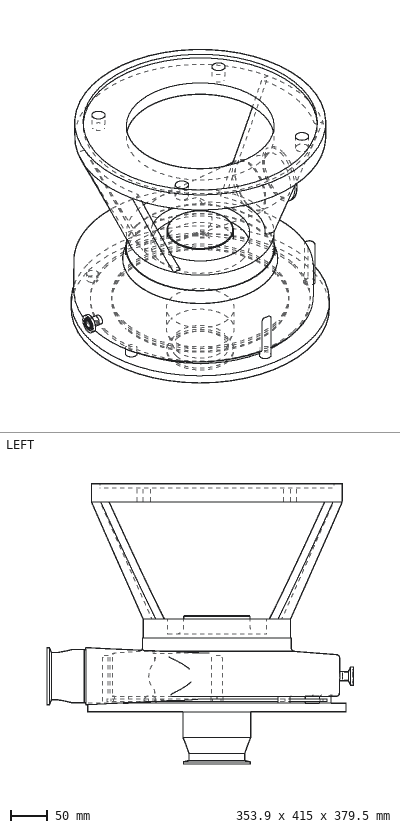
import cadquery as cq
import math


suction_flange_thickness = 3.0
suction_neck_bottom = 5.0
suction_reducer_bottom = 14.5
suction_reducer_top = 36.0
plate_bottom = 70.5
plate_thickness = 12.0
plate_top = plate_bottom + plate_thickness
casing_bottom = 91.5
outlet_level = 119.0
bearing_bottom = 147.0
bearing_step_level = 171.0
bearing_top = 196.5
plug_top = 201.0
total_height = 379.5
ring_thickness = 25.0
ring_bottom = total_height - ring_thickness

suction_flange_radius = 45.5
suction_neck_radius = 38.0
suction_pipe_radius = 46.0

plate_radius = 175.0
cover_disc_radius = 149.0
cover_spacer_radius = 120.0
cover_gap = 2.0
cover_disc_thickness = 3.8
pillar_count = 5
pillar_radius = 8.0
pillar_circle_radius = 154.3
pillar_top = 147.0
pillar_rounding = 4.0

casing_radius = 166.4
casing_offset = -8.8
wall_end_angle = 155.0
tongue_radius = 147.5
tongue_angle = 145.0
casing_roof_inner_radius = 101.0
casing_roof_inner_level = 153.0
casing_roof_outer_radius = 200.0
casing_roof_outer_level = 145.4
casing_rounding = 5.0

outlet_x = -140.0
outlet_end = 230.0
outlet_pipe_end = 177.0
outlet_pipe_end_radius = 38.89
outlet_groove_radius = 35.2
outlet_groove_place = 179.0
outlet_socket_start = 180.2
outlet_reducer_start = 196.0
outlet_reducer_end = 215.5
outlet_pipe_start = 0.0
outlet_pipe_start_radius = 30.8
outlet_flange_radius = 38.75
outlet_flange_thickness = 3.5
outlet_flange_taper = 2.5
outlet_neck_radius = 32.2
outlet_socket_radius = 36.2

drain_length = 185.0
drain_root_depth = 10.0
drain_tube_radius = 6.5
drain_flange_radius = 12.5
drain_flange_thickness = 4.0
drain_flange_taper = 3.0
drain_bore_radius = 5.0
drain_bore_depth = 15.0
drain_groove_inner_radius = 7.0
drain_groove_outer_radius = 9.0
drain_groove_depth = 1.5

bearing_radius = 100.0
bearing_base_radius = 101.0
bearing_foot_rounding = 4.0
bearing_bore_radius = 67.0
bearing_bore_floor = 176.0
plug_radius = 45.0
plug_chamfer = 1.0
plug_foot_radius = 55.0

ring_radius = 170.0
ring_bore_radius = 100.0
ring_recess_radius = 158.5
ring_recess_depth = 6.0
ring_hole_radius = 9.0
ring_hole_circle_radius = 140.0
ring_hole_count = 4
ring_hole_start_angle = 45.0
arm_thickness = 12.0
arm_top_width = 130.0
arm_bottom_width = 112.0
arm_rounding = 3.0


def turned(profile):
    """Solid turned about Z from a list of (radius, height) points."""
    return cq.Workplane("XZ").polyline(profile).close().revolve(360, (0, 0, 0), (0, 1, 0))


def cylinder(radius, bottom, top):
    return cq.Workplane("XY").workplane(offset=bottom).circle(radius).extrude(top - bottom)


def make_suction():
    """Suction pipe with a reducer and a clamp flange below the plate."""
    return turned([
        (0, 0),
        (suction_flange_radius, 0),
        (suction_flange_radius, suction_flange_thickness),
        (suction_neck_radius, suction_neck_bottom),
        (suction_neck_radius, suction_reducer_bottom),
        (suction_pipe_radius, suction_reducer_top),
        (suction_pipe_radius, plate_top),
        (0, plate_top),
    ])


def make_base():
    """Base plate with the casing's cover disc, held on a smaller spacer that joins plate and casing."""
    disc_bottom = plate_top + cover_gap
    plate = cylinder(plate_radius, plate_bottom, plate_top)
    spacer = cylinder(cover_spacer_radius, plate_top, casing_bottom)
    disc = cylinder(cover_disc_radius, disc_bottom, disc_bottom + cover_disc_thickness)
    return plate.union(spacer).union(disc)


def make_pillars():
    """Pillars from the plate up into the casing; those at the narrow side stand proud of its wall."""
    pillar = cylinder(pillar_radius, plate_bottom, pillar_top)
    pillar = pillar.faces(">Z").edges().fillet(pillar_rounding)
    pillar = pillar.translate((pillar_circle_radius, 0, 0))
    pillars = cq.Workplane("XY")
    for i in range(pillar_count):
        angle = i * 360 / pillar_count
        pillars = pillars.union(pillar.rotate((0, 0, 0), (0, 0, 1), angle))
    return pillars


def make_casing():
    """Volute: two tangent arcs in plan, a conical roof and rounded rims.

    The straight side that closes the outline lies inside the outlet pipe.
    """
    spiral_start_offset = casing_offset + casing_radius - tongue_radius
    tongue = (
        spiral_start_offset + tongue_radius * math.cos(math.radians(tongue_angle)),
        tongue_radius * math.sin(math.radians(tongue_angle)),
    )
    wall_end = (
        casing_offset + casing_radius * math.cos(math.radians(wall_end_angle)),
        casing_radius * math.sin(math.radians(wall_end_angle)),
    )
    wall = (
        cq.Workplane("XY")
        .workplane(offset=casing_bottom)
        .moveTo(*wall_end)
        .threePointArc((casing_offset, -casing_radius), (casing_offset + casing_radius, 0))
        .threePointArc((spiral_start_offset, tongue_radius), tongue)
        .close()
        .extrude(bearing_step_level - casing_bottom)
    )
    roof = turned([
        (0, casing_bottom),
        (casing_roof_outer_radius, casing_bottom),
        (casing_roof_outer_radius, casing_roof_outer_level),
        (casing_roof_inner_radius, casing_roof_inner_level),
        (0, casing_roof_inner_level),
    ])
    casing = wall.intersect(roof.rotate((0, 0, 0), (0, 0, 1), 180))
    casing = casing.faces("<Z").edges("%CIRCLE").fillet(casing_rounding)
    reach = 2 * casing_radius
    upper_half = cq.selectors.BoxSelector((-reach, -reach, outlet_level), (reach, reach, bearing_top))
    return casing.edges("%BSPLINE").edges(upper_half).fillet(casing_rounding)


def make_outlet():
    """Tapered discharge pipe with a reducer and a clamp flange, turned about Z and then laid along +Y."""
    flange_back = outlet_end - outlet_flange_thickness
    outlet = turned([
        (0, outlet_pipe_start),
        (outlet_pipe_start_radius, outlet_pipe_start),
        (outlet_pipe_end_radius, outlet_pipe_end),
        (outlet_groove_radius, outlet_groove_place),
        (outlet_socket_radius, outlet_socket_start),
        (outlet_socket_radius, outlet_reducer_start),
        (outlet_neck_radius, outlet_reducer_end),
        (outlet_neck_radius, flange_back - outlet_flange_taper),
        (outlet_flange_radius, flange_back),
        (outlet_flange_radius, outlet_end),
        (0, outlet_end),
    ])
    return outlet.rotate((0, 0, 0), (1, 0, 0), -90).translate((outlet_x, 0, outlet_level))


def make_drain():
    """Drain tube with a small clamp flange, turned about Z and then laid along -Y."""
    root = casing_radius - drain_root_depth
    flange_back = drain_length - drain_flange_thickness
    groove_floor = drain_length - drain_groove_depth
    bore_floor = drain_length - drain_bore_depth
    drain = turned([
        (0, root),
        (drain_tube_radius, root),
        (drain_tube_radius, flange_back - drain_flange_taper),
        (drain_flange_radius, flange_back),
        (drain_flange_radius, drain_length),
        (drain_groove_outer_radius, drain_length),
        (drain_groove_outer_radius, groove_floor),
        (drain_groove_inner_radius, groove_floor),
        (drain_groove_inner_radius, drain_length),
        (drain_bore_radius, drain_length),
        (drain_bore_radius, bore_floor),
        (0, bore_floor),
    ])
    return drain.rotate((0, 0, 0), (1, 0, 0), 90).translate((0, 0, outlet_level))


def make_bearing():
    """Bearing housing: a ring with a hollow foot rounding and a plug standing in its bore."""
    foot = bearing_foot_rounding
    plug_foot = plug_foot_radius - plug_radius
    return (
        cq.Workplane("XZ")
        .moveTo(0, bearing_bottom)
        .lineTo(bearing_base_radius + foot, bearing_bottom)
        .lineTo(bearing_base_radius + foot, casing_roof_inner_level)
        .radiusArc((bearing_base_radius, casing_roof_inner_level + foot), foot)
        .lineTo(bearing_base_radius, bearing_step_level)
        .lineTo(bearing_radius, bearing_step_level)
        .lineTo(bearing_radius, bearing_top)
        .lineTo(bearing_bore_radius, bearing_top)
        .lineTo(bearing_bore_radius, bearing_bore_floor)
        .lineTo(plug_foot_radius, bearing_bore_floor)
        .radiusArc((plug_radius, bearing_bore_floor + plug_foot), plug_foot)
        .lineTo(plug_radius, plug_top - plug_chamfer)
        .lineTo(plug_radius - plug_chamfer, plug_top)
        .lineTo(0, plug_top)
        .close()
        .revolve(360, (0, 0, 0), (0, 1, 0))
    )


def make_ring():
    """Mounting ring with a shallow recess in its top and four through holes."""
    ring = cylinder(ring_radius, ring_bottom, total_height)
    ring = ring.cut(cylinder(ring_bore_radius, ring_bottom, total_height))
    ring = ring.cut(cylinder(ring_recess_radius, total_height - ring_recess_depth, total_height))
    holes = (
        cq.Workplane("XY")
        .workplane(offset=ring_bottom)
        .polarArray(ring_hole_circle_radius, ring_hole_start_angle, 360, ring_hole_count)
        .circle(ring_hole_radius)
        .extrude(ring_thickness)
    )
    return ring.cut(holes)


def make_arms():
    """Two opposite arms: pieces of a conical shell between tapering upright sides."""
    shell = turned([
        (bearing_radius - arm_thickness, bearing_top),
        (bearing_radius, bearing_top),
        (ring_radius, ring_bottom),
        (ring_radius - arm_thickness, ring_bottom),
    ])
    wedge = (
        cq.Workplane("XZ")
        .polyline([
            (-arm_bottom_width / 2, bearing_top),
            (arm_bottom_width / 2, bearing_top),
            (arm_top_width / 2, ring_bottom),
            (-arm_top_width / 2, ring_bottom),
        ])
        .close()
        .extrude(-ring_radius)
    )
    arm = shell.intersect(wedge)
    long_edges = arm.edges("%HYPERBOLA").vals()
    inner_edges = sorted(long_edges, key=lambda edge: edge.Center().y)[:2]
    arm = arm.newObject(inner_edges).fillet(arm_rounding)
    return arm.union(arm.mirror("XZ"))


pieces = [
    make_base(),
    make_pillars(),
    make_casing(),
    make_outlet(),
    make_drain(),
    make_bearing(),
    make_arms(),
    make_ring(),
]
result = make_suction()
for piece in pieces:
    result = result.union(piece)